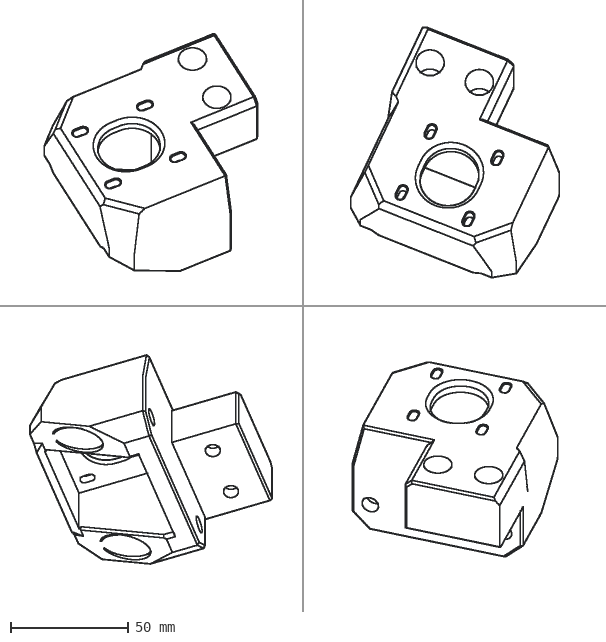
import cadquery as cq
import math

width = 77.0
depth = 85.0
height = 55.0
center_x = width / 2

main_depth = 55.0
arm_width = 42.9
arm_bottom = 28.8
arm_bevel = 3.0
rear_bevel = 1.0
lower_side_bevel = 8.0

lean_start = 32.8
lean_inset = 4.9
left_lean_end = 47.85

front_top_bevel = 3.0
corner_setback = 8.0
corner_setback_at_rim = 17.2
corner_setback_at_top = 20.5
corner_rim_drop = 1.7

slope_front_height = 26.4
slope_depth = 42.7
slope_length = math.hypot(slope_depth, slope_front_height)
slope_sin = slope_front_height / slope_length
slope_cos = slope_depth / slope_length
lip_bottom = 24.0
lip_bottom_width = 44.0

motor_y = 25.1
cavity_size = 43.0
plate_thickness = 5.3
cavity_bottom_bevel = 1.6
cavity_slope_bevel = 1.0

slot_travel = 3.0
pilot_diameter = 24.0
pilot_bevel = 1.95
screw_slot_width = 3.5
screw_slot_bevel = 0.4
motor_screw_pitch = 31.0

arm_bolt_x = 10.0
arm_bolt_pitch = 22.95
arm_bolt_y = 69.95
arm_bolt_diameter = 6.3

front_bolt_x = 8.5
front_bolt_z = 13.85
front_bolt_diameter = 7.3
front_bolt_bevel = 0.9

head_diameter = 12.0
bolt_floor = 6.0


def mirrored(shape):
    """The shape reflected about the middle of the width."""
    return shape.mirror("YZ", (center_x, 0, 0))


def main_block():
    """Front block with bevelled lower sides, a leaning right side and a bevelled rear face."""
    outline = [
        (lower_side_bevel, 0),
        (width - lower_side_bevel, 0),
        (width, lower_side_bevel),
        (width, lean_start),
        (width - lean_inset, height),
        (arm_bevel, height),
        (0, height - arm_bevel),
        (0, lower_side_bevel),
    ]
    block = cq.Workplane("XZ").polyline(outline).close().extrude(-main_depth)
    block = block.faces(">Y").chamfer(rear_bevel)
    return block.faces("<Y").edges(">Z").chamfer(front_top_bevel)


def arm():
    """Rear arm, overlapping the main block, with bevelled edges; its left rear edges stay sharp."""
    length = depth - left_lean_end
    block = cq.Workplane("XY").box(arm_width, length, height - arm_bottom, centered=False)
    block = block.translate((0, left_lean_end, arm_bottom))
    block = block.edges("|Y and >Z").chamfer(arm_bevel)
    right_of_left_side = cq.selectors.BoxSelector((arm_bevel, 0, 0), (width, 2 * depth, 2 * height))
    return block.faces(">Y").edges(right_of_left_side).chamfer(rear_bevel)


def diagonal_cutter(profile):
    """Prism running at 45 degrees across the front left corner, from (X + Y, Z) points."""
    plane = cq.Plane(origin=(0, 0, 0), xDir=(1, 1, 0), normal=(1, -1, 0))
    points = [(reach / math.sqrt(2), z) for reach, z in profile]
    return cq.Workplane(plane).polyline(points).close().extrude(depth, both=True)


def front_corner_cutter():
    """Cuts the front left corner: upright below, leaning above, bevelled at the top."""
    return diagonal_cutter([
        (0, 0),
        (corner_setback, 0),
        (corner_setback, lean_start),
        (corner_setback_at_rim, height - corner_rim_drop),
        (corner_setback_at_top, height),
        (0, height),
    ])


def left_lean_cutter():
    """Cuts the leaning left side, which ends at a 45 degree facet in front of the arm."""
    lean = [(0, lean_start), (lean_inset, height), (0, height)]
    side = cq.Workplane("XZ").polyline(lean).close().extrude(-depth)
    end_facet = diagonal_cutter([
        (0, lean_start),
        (left_lean_end, lean_start),
        (left_lean_end + lean_inset, height),
        (0, height),
    ])
    return side.intersect(end_facet)


def slope_plane(x, y, z):
    """Plane parallel to the sloped underside: its Y axis runs down the slope, its normal inward."""
    return cq.Plane(origin=(x, y, z), xDir=(-1, 0, 0), normal=(0, slope_sin, slope_cos))


def underside_cutter():
    """Cuts the sloped underside but leaves the lip, whose ends flare at 45 degrees."""
    wedge = (
        cq.Workplane("YZ")
        .polyline([(0, 0), (slope_depth, 0), (0, slope_front_height)])
        .close()
        .extrude(width)
    )
    half = lip_bottom_width / 2
    reach = half / 2
    lip = (
        cq.Workplane("XY", origin=(center_x, 0, lip_bottom))
        .polyline([
            (reach - half, -reach),
            (half - reach, -reach),
            (half + reach, reach),
            (-half - reach, reach),
        ])
        .close()
        .extrude(slope_front_height - lip_bottom, taper=-45)
    )
    return wedge.cut(lip)


def cavity_bevel(y, direction, bevel, length):
    """Prism that bevels both side edges of the cavity mouth, run from depth y at Z = 0."""
    plane = cq.Plane(origin=(center_x, y, 0), xDir=(1, 0, 0), normal=direction)
    half = cavity_size / 2
    profile = [(-half - bevel, 0), (half + bevel, 0), (half, bevel), (-half, bevel)]
    return cq.Workplane(plane).polyline(profile).close().extrude(length)


def cavity():
    """Square motor cavity with bevelled side edges on the bottom and on the slope."""
    pocket = (
        cq.Workplane("XY", origin=(center_x, motor_y, 0))
        .rect(cavity_size, cavity_size)
        .extrude(height - plate_thickness)
    )
    cavity_rear = motor_y + cavity_size / 2
    along_bottom = cavity_bevel(cavity_rear, (0, -1, 0), cavity_bottom_bevel, cavity_size)
    along_slope = cavity_bevel(
        slope_depth,
        (0, -slope_cos, slope_sin),
        cavity_slope_bevel,
        lip_bottom / slope_sin,
    )
    return pocket.union(along_bottom).union(along_slope)


def plate_slot(slot_width, bevel, x, y):
    """Slot along Y through the motor plate, with a bevelled upper rim."""
    slot_length = slot_width + slot_travel
    opening = (
        cq.Workplane("XY", origin=(x, y, height - plate_thickness))
        .slot2D(slot_length, slot_width, 90)
        .extrude(plate_thickness)
    )
    rim = (
        cq.Workplane("XY", origin=(x, y, height))
        .slot2D(slot_length + 2 * bevel, slot_width + 2 * bevel, 90)
        .extrude(-bevel, taper=45)
    )
    return opening.union(rim)


def ellipse_wire(plane, x_radius, y_radius):
    """Ellipse outline about the origin of a plane."""
    return cq.Workplane(plane).ellipse(x_radius, y_radius).val()


def front_bolt_rim(x):
    """Bevel where a round head recess meets the slope: a ruled surface between two ellipses."""
    bevel = front_bolt_bevel
    radius = head_diameter / 2
    outer_radius = radius + bevel
    axis_y = slope_depth * (1 - front_bolt_z / slope_front_height)
    inner_y = axis_y + bevel / slope_sin

    outer_plane = slope_plane(x, inner_y - bevel * slope_sin, front_bolt_z - bevel * slope_cos)
    outer = ellipse_wire(outer_plane, outer_radius, outer_radius / slope_sin)

    rise = outer_radius / radius * slope_cos / slope_sin
    inner_plane = cq.Plane(origin=(x, inner_y, front_bolt_z), xDir=(-1, 0, 0), normal=(0, 1, rise))
    inner = ellipse_wire(inner_plane, radius, radius * math.hypot(1, rise))
    return cq.Workplane(cq.Solid.makeLoft([outer, inner], True))


def front_bolt_hole(x):
    """Horizontal bolt hole with a head recess and a bevelled rim on the slope."""
    axis = cq.Workplane("XZ", origin=(x, 0, front_bolt_z))
    hole = axis.circle(front_bolt_diameter / 2).extrude(-main_depth)
    recess = axis.circle(head_diameter / 2).extrude(bolt_floor - main_depth)
    return hole.union(recess).union(front_bolt_rim(x))


def arm_bolt_hole(x):
    """Vertical bolt hole through the arm with a head recess from above."""
    axis = cq.Workplane("XY", origin=(x, arm_bolt_y, arm_bottom))
    hole = axis.circle(arm_bolt_diameter / 2).extrude(height - arm_bottom)
    recess = axis.workplane(offset=bolt_floor).circle(head_diameter / 2)
    return hole.union(recess.extrude(height - arm_bottom - bolt_floor))


body = main_block().union(arm())
body = body.cut(left_lean_cutter())
body = body.cut(front_corner_cutter())
body = body.cut(mirrored(front_corner_cutter()))
body = body.cut(underside_cutter())

body = body.cut(cavity())
body = body.cut(plate_slot(pilot_diameter, pilot_bevel, center_x, motor_y))
half_pitch = motor_screw_pitch / 2
for x in (center_x - half_pitch, center_x + half_pitch):
    for y in (motor_y - half_pitch, motor_y + half_pitch):
        body = body.cut(plate_slot(screw_slot_width, screw_slot_bevel, x, y))

for x in (front_bolt_x, width - front_bolt_x):
    body = body.cut(front_bolt_hole(x))
for x in (arm_bolt_x, arm_bolt_x + arm_bolt_pitch):
    body = body.cut(arm_bolt_hole(x))

result = body